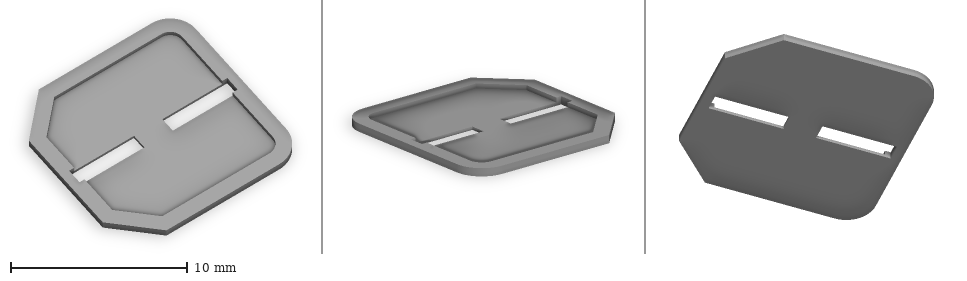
import cadquery as cq

side = 12.3
thickness = 0.5
corner_radius = 1.8
corner_cut = 2.586

rim_width = 0.95
recess_depth = 0.3

slot_width = 1.0
slot_length = 4.55
bridge_length = 2.0


def plate_blank():
    """Square plate with rounded +Y corners and bevelled -Y corners."""
    blank = cq.Workplane("XY").box(side, side, thickness, centered=(True, True, False))
    blank = blank.edges("|Z and >Y").fillet(corner_radius)
    return blank.edges("|Z and <Y").chamfer(corner_cut)


def recess(blank):
    """Pocket volume that follows the plate outline, inset by the rim width."""
    return blank.faces(">Z").wires().toPending().offset2D(-rim_width).extrude(-recess_depth, combine=False)


def slots():
    """Through slots, one on each side of the bridge."""
    slot_offset = (bridge_length + slot_length) / 2
    return (
        cq.Workplane("XY")
        .pushPoints([(0, -slot_offset), (0, slot_offset)])
        .rect(slot_width, slot_length)
        .extrude(thickness)
    )


plate = plate_blank()
result = plate.cut(recess(plate)).cut(slots())